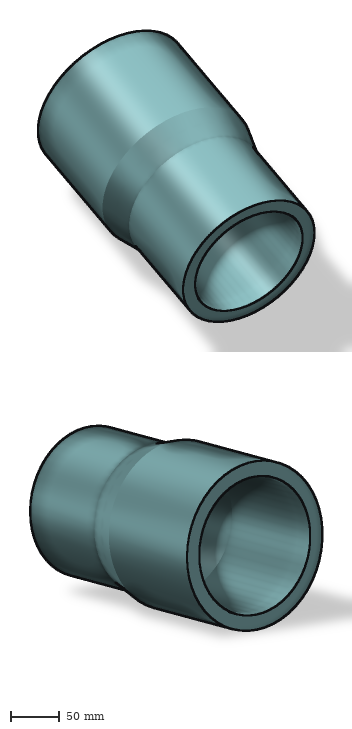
import cadquery as cq

total_length = 276.0
large_length = 130.8
taper_length = 37.0
large_outer_radius = 90.0
small_outer_radius = 80.0
large_bore_radius = 73.7
small_bore_radius = 65.5

start_x = -total_length / 2
taper_start_x = start_x + large_length
taper_end_x = taper_start_x + taper_length
end_x = total_length / 2


def reducer_solid(large_radius, small_radius):
    """Two coaxial cylinders joined by a conical taper."""
    return (
        cq.Workplane("XY")
        .moveTo(start_x, 0)
        .lineTo(start_x, large_radius)
        .lineTo(taper_start_x, large_radius)
        .lineTo(taper_end_x, small_radius)
        .lineTo(end_x, small_radius)
        .lineTo(end_x, 0)
        .close()
        .revolve(360, (0, 0, 0), (1, 0, 0))
    )


outer_body = reducer_solid(large_outer_radius, small_outer_radius)
bore = reducer_solid(large_bore_radius, small_bore_radius)
result = outer_body.cut(bore)